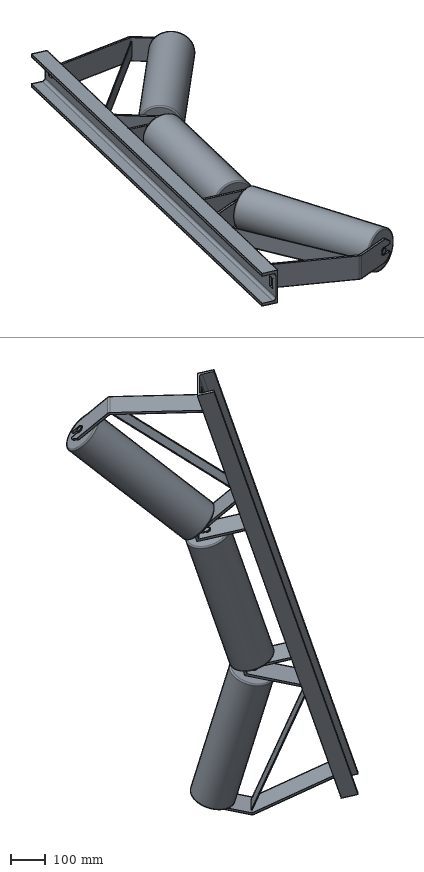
import cadquery as cq
import math


beam_length = 1507.0
beam_depth = 50.0
beam_height = 105.0
web_thickness = 6.0
flange_thickness = 9.0
root_radius = 9.0
window_width = 18.0
window_height = 32.0
window_offset = 722.0

roller_diameter = 133.0
roller_length = 465.0
roller_edge_radius = 5.0
shaft_diameter = 24.0
shaft_chamfer = 3.0
trough_angle = 30.0
overall_depth = 469.0
center_roller_y = 167.0
side_roller_x = 480.0

plate_thickness = 8.0
plate_width = 75.0
end_gap = 5.0
bridge_top_y = 197.0
outer_foot_x = 687.0
bend_radius = 5.0
arm_tip_rise = 30.0
tip_chamfer_rise = 23.0
tip_chamfer_width = 18.0

strut_thickness = 3.0
strut_width = 50.0
strut_foot_x = 385.0

tilt = math.radians(trough_angle)
axis_x, axis_y = math.cos(tilt), -math.sin(tilt)
arm_x, arm_y = math.sin(tilt), math.cos(tilt)

roller_radius = roller_diameter / 2
corner_rise = (
    (roller_length / 2 - roller_edge_radius) * math.sin(tilt)
    + (roller_radius - roller_edge_radius) * math.cos(tilt)
    + roller_edge_radius
)
side_roller_y = overall_depth - corner_rise

near_face = roller_length / 2 + end_gap
far_face = near_face + plate_thickness


def side_point(along, across):
    """Point given along the left roller's axis (inward) and across it (upward)."""
    return (
        -side_roller_x + along * axis_x + across * arm_x,
        side_roller_y + along * axis_y + across * arm_y,
    )


def side_point_at_y(along, y):
    """Point at height y on the line square to the left roller's axis."""
    start_y = side_point(along, 0)[1]
    return side_point(along, (y - start_y) / arm_y)


def flat_plate(outline, width):
    """Plate with an XY outline, centred on Z = 0."""
    return cq.Workplane("XY", origin=(0, 0, -width / 2)).polyline(outline).close().extrude(width)


def round_bend(plate, outer_corner, inner_corner):
    """Round both sides of a bend with concentric radii."""
    for corner, radius in (
        (outer_corner, bend_radius + plate_thickness),
        (inner_corner, bend_radius),
    ):
        edge = cq.selectors.NearestToPointSelector((*corner, 0))
        plate = plate.edges("|Z").edges(edge).fillet(radius)
    return plate


def place_on_side_axis(body):
    """Move a body from a level roller at the origin to the left tilted roller."""
    turned = body.rotate((0, 0, 0), (0, 0, 1), -trough_angle)
    return turned.translate((-side_roller_x, side_roller_y, 0))


def make_beam():
    on_flange_tips = (True, False, True)
    beam = cq.Workplane("XY").box(beam_length, beam_depth, beam_height, centered=on_flange_tips)
    hollow = cq.Workplane("XY").box(
        beam_length,
        beam_depth - web_thickness,
        beam_height - 2 * flange_thickness,
        centered=on_flange_tips,
    )
    hollow = hollow.edges("|X and >Y").fillet(root_radius)
    windows = (
        cq.Workplane("XZ")
        .pushPoints([(-window_offset, 0), (window_offset, 0)])
        .rect(window_width, window_height)
        .extrude(-beam_depth)
    )
    return beam.cut(hollow).cut(windows)


def cylinder_along_x(diameter, length):
    """Level cylinder centred on the origin."""
    return cq.Workplane("YZ", origin=(-length / 2, 0, 0)).circle(diameter / 2).extrude(length)


def make_roller():
    """Level roller along X at the origin, its shaft ending flush with the plates' far faces."""
    shell = cylinder_along_x(roller_diameter, roller_length)
    shell = shell.faces("<X or >X").edges().fillet(roller_edge_radius)
    shaft = cylinder_along_x(shaft_diameter, 2 * far_face)
    shaft = shaft.faces("<X or >X").chamfer(shaft_chamfer)
    return shell.union(shaft)


def make_shaft_slot(direction):
    """Open-topped slot for one shaft end of a level roller at the origin."""
    opening = cq.Workplane("XY").box(
        plate_thickness, roller_radius, shaft_diameter, centered=(False, False, True)
    )
    opening = opening.translate((near_face, 0, 0))
    if direction < 0:
        opening = opening.mirror("YZ")
    return opening.union(cylinder_along_x(shaft_diameter, 2 * far_face))


def outer_bend_corners():
    """Outer and inner corners of the left outer bracket's bend."""
    across = (-beam_length / 2 - side_point(-far_face, 0)[0]) / arm_x
    outer = side_point(-far_face, across)
    lean = math.atan2(-outer_foot_x - outer[0], outer[1] - beam_depth)
    half_turn = (tilt + lean) / 2
    inner = side_point(-near_face, across + plate_thickness * math.tan(half_turn))
    return outer, inner, lean


def make_outer_bracket():
    outer_bend, inner_bend, lean = outer_bend_corners()
    outline = [
        (-outer_foot_x, beam_depth),
        outer_bend,
        side_point(-far_face, arm_tip_rise),
        side_point(-near_face, arm_tip_rise),
        inner_bend,
        (-outer_foot_x + plate_thickness / math.cos(lean), beam_depth),
    ]
    bracket = round_bend(flat_plate(outline, plate_width), outer_bend, inner_bend)
    half_width = plate_width / 2
    corner = (
        cq.Workplane("YZ")
        .polyline([
            (arm_tip_rise, half_width),
            (arm_tip_rise - tip_chamfer_rise, half_width),
            (arm_tip_rise, half_width - tip_chamfer_width),
        ])
        .close()
        .extrude(plate_thickness)
        .translate((-far_face, 0, 0))
    )
    for cutter in (corner, corner.mirror("XY"), make_shaft_slot(-1)):
        bracket = bracket.cut(place_on_side_axis(cutter))
    return bracket


def make_inner_bracket():
    """Bent plate with a tilted leg, a level bridge and an upright leg."""
    bridge_bottom_y = bridge_top_y - plate_thickness
    outline = [
        side_point_at_y(near_face, beam_depth),
        side_point_at_y(near_face, bridge_top_y),
        (-near_face, bridge_top_y),
        (-near_face, beam_depth),
        (-far_face, beam_depth),
        (-far_face, bridge_bottom_y),
        side_point_at_y(far_face, bridge_bottom_y),
        side_point_at_y(far_face, beam_depth),
    ]
    bracket = flat_plate(outline, plate_width)
    bracket = bracket.cut(place_on_side_axis(make_shaft_slot(1)))
    return bracket.cut(make_shaft_slot(-1).translate((0, center_roller_y, 0)))


def make_strut():
    """Brace from the beam up to the inside of the outer bracket's bend."""
    top = outer_bend_corners()[1]
    foot = (-strut_foot_x, beam_depth)
    slope = math.atan2(top[1] - foot[1], foot[0] - top[0])
    foot_right = (foot[0] + strut_thickness / math.sin(slope), beam_depth)
    top_right = (top[0] + strut_thickness * math.sin(slope), top[1] + strut_thickness * math.cos(slope))
    strut = flat_plate([foot, top, top_right, foot_right], strut_width)
    return strut.cut(make_outer_bracket())


beam = make_beam()
center_roller = make_roller().translate((0, center_roller_y, 0))
left_bodies = [
    place_on_side_axis(make_roller()),
    make_outer_bracket(),
    make_inner_bracket(),
    make_strut(),
]

solids = [beam.val(), center_roller.val()]
for body in left_bodies:
    solids.append(body.val())
    solids.append(body.mirror("YZ").val())

result = cq.Compound.makeCompound(solids)